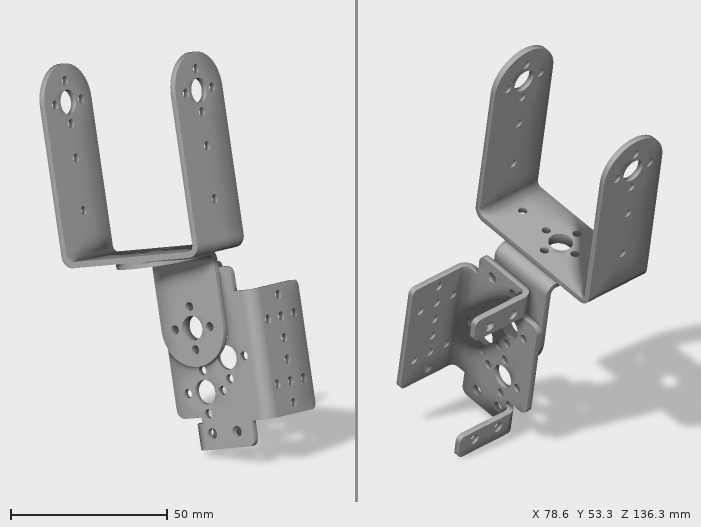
import cadquery as cq


ROLL_ABOUT_X = -4.1
PITCH_ABOUT_Y = -13.1

SHEET = 2.0
INNER_BEND = 2.0
OUTER_BEND = INNER_BEND + SHEET
STRAP_WIDTH = 25.0
TIP_RADIUS = STRAP_WIDTH / 2

HUB_HOLE = 8.0
SCREW_HOLE = 3.0
HUB_PITCH = 7.0
HUB_SCREWS = [(HUB_PITCH, 0), (-HUB_PITCH, 0), (0, HUB_PITCH), (0, -HUB_PITCH)]

U_WIDTH = 55.0
U_HEIGHT = 64.8
U_LEG_HUB_Z = U_HEIGHT - TIP_RADIUS
U_LEG_SCREWS_Z = [17.1, 34.2]
U_BASE_SCREW_X = 18.5

L_BACK_Y = TIP_RADIUS + OUTER_BEND
L_HUB_Z = -25.0

PLATE_FRONT_Y = L_BACK_Y
PLATE_BACK_Y = PLATE_FRONT_Y + SHEET
HUB_OFFSET = 1.5 * HUB_PITCH
PLATE_MID_Z = L_HUB_Z - HUB_OFFSET
PLATE_LEFT_X = -TIP_RADIUS
PLATE_RIGHT_X = 17.0
PLATE_HEIGHT = 58.3
PLATE_CORNER = 2.5
LEFT_PANEL_HEIGHT = 37.0
LEFT_PANEL_CORNER = 3.0
HUBS_FROM_MID = [(0, HUB_OFFSET), (0, -HUB_OFFSET), (HUB_OFFSET, 0)]

MOUNT_DEPTH = 24.9
MOUNT_END_Y = PLATE_FRONT_Y + MOUNT_DEPTH
TAB_CORNER = 2.0
EAR_OUTER_X = -6.95
EAR_HEIGHT = 8.6
FLANGE_OUTER_X = 24.35
FLANGE_HEIGHT = 42.0
FLANGE_COLUMN_DEPTH = 13.55
FLANGE_CENTRE_Y = PLATE_FRONT_Y + FLANGE_COLUMN_DEPTH

SERVO_HOLE = 3.7
SERVO_HOLE_FROM_MID = 24.05
SERVO_HOLE_PITCH = 10.0
PLATE_SERVO_HOLE_X = 0.4
PLATE_SERVO_HOLES_X = [PLATE_SERVO_HOLE_X, PLATE_SERVO_HOLE_X + SERVO_HOLE_PITCH]
EAR_SERVO_HOLE_Y = PLATE_FRONT_Y + 8.4
EAR_SERVO_HOLES_Y = [EAR_SERVO_HOLE_Y, EAR_SERVO_HOLE_Y + SERVO_HOLE_PITCH]

FLANGE_COLUMN = [(FLANGE_CENTRE_Y, L_HUB_Z - row * HUB_PITCH) for row in range(-1, 5)]
FLANGE_SIDES = [
    (FLANGE_CENTRE_Y + side * HUB_PITCH, L_HUB_Z - row * HUB_PITCH)
    for side in (-1, 1)
    for row in (0, 3)
]
FLANGE_SCREWS = FLANGE_COLUMN + FLANGE_SIDES

DRILL_REACH = 100.0


def span_box(x_limits, y_limits, z_limits):
    """Box between two limits along each axis."""
    limits = (x_limits, y_limits, z_limits)
    size = [high - low for low, high in limits]
    corner = tuple(low for low, high in limits)
    return cq.Workplane("XY").box(*size, centered=False).translate(corner)


def drills(plane, points, diameter):
    """Cutters square to a plane, reaching well past the bracket on both sides."""
    return cq.Workplane(plane).pushPoints(points).circle(diameter / 2).extrude(DRILL_REACH, both=True)


def cut_hub(body, plane, centre):
    """Cut a hub hole and the four screw holes around it."""
    screws = [(centre[0] + a, centre[1] + b) for a, b in HUB_SCREWS]
    return body.cut(drills(plane, [centre], HUB_HOLE)).cut(drills(plane, screws, SCREW_HOLE))


def tilt(body):
    """Turn a bracket from its square position to its place in the assembly."""
    rolled = body.rotate((0, 0, 0), (1, 0, 0), ROLL_ABOUT_X)
    return rolled.rotate((0, 0, 0), (0, 1, 0), PITCH_ABOUT_Y)


def make_u_bracket():
    """U channel with two round-tipped legs."""
    half = U_WIDTH / 2
    strap = (-TIP_RADIUS, TIP_RADIUS)
    outer = span_box((-half, half), strap, (0, U_HEIGHT)).edges("|Y and <Z").fillet(OUTER_BEND)
    inner = span_box((SHEET - half, half - SHEET), strap, (SHEET, U_HEIGHT))
    body = outer.cut(inner.edges("|Y and <Z").fillet(INNER_BEND))

    leg_outline = span_box((-half, half), strap, (0, U_LEG_HUB_Z))
    leg_outline = leg_outline.union(drills("YZ", [(0, U_LEG_HUB_Z)], 2 * TIP_RADIUS))
    body = body.intersect(leg_outline)

    body = cut_hub(body, "XY", (0, 0))
    body = body.cut(drills("XY", [(-U_BASE_SCREW_X, 0), (U_BASE_SCREW_X, 0)], SCREW_HOLE))
    body = cut_hub(body, "YZ", (0, U_LEG_HUB_Z))
    return body.cut(drills("YZ", [(0, z) for z in U_LEG_SCREWS_Z], SCREW_HOLE))


def make_l_bracket():
    """Two round-tipped legs at a right angle, one under the U base and one hanging down."""
    strap = (-TIP_RADIUS, TIP_RADIUS)
    y_limits = (-TIP_RADIUS, L_BACK_Y)
    z_limits = (L_HUB_Z - TIP_RADIUS, 0)
    outer = span_box(strap, y_limits, z_limits).edges("|X and >Y and >Z").fillet(OUTER_BEND)
    inner = span_box(strap, (y_limits[0], L_BACK_Y - SHEET), (z_limits[0], -SHEET))
    body = outer.cut(inner.edges("|X and >Y and >Z").fillet(INNER_BEND))

    flat_outline = span_box(strap, (0, L_BACK_Y), z_limits)
    flat_outline = flat_outline.union(drills("XY", [(0, 0)], 2 * TIP_RADIUS))
    upright_outline = span_box(strap, y_limits, (L_HUB_Z, 0))
    upright_outline = upright_outline.union(drills("XZ", [(0, L_HUB_Z)], 2 * TIP_RADIUS))
    body = body.intersect(flat_outline).intersect(upright_outline)

    body = cut_hub(body, "XY", (0, 0))
    return cut_hub(body, "XZ", (0, L_HUB_Z))


def bent_tab(outer_x, z_limits):
    """Tab bent back from the plate at its outer face, with its flat part reaching in to X = 0."""
    side = 1 if outer_x > 0 else -1
    bend_edge = "|Z and <Y and >X" if outer_x > 0 else "|Z and <Y and <X"
    inner_x = outer_x - side * SHEET
    outer = span_box(sorted((0, outer_x)), (PLATE_FRONT_Y, MOUNT_END_Y), z_limits)
    outer = outer.edges(bend_edge).fillet(OUTER_BEND)
    outer = outer.edges("|X and >Y").fillet(TAB_CORNER)
    inner = span_box(sorted((0, inner_x)), (PLATE_BACK_Y, MOUNT_END_Y), z_limits)
    return outer.cut(inner.edges(bend_edge).fillet(INNER_BEND))


def make_servo_mount():
    """Plate with two ears and a side flange bent back from it."""
    y_limits = (PLATE_FRONT_Y, PLATE_BACK_Y)
    ear_flat_x = EAR_OUTER_X + OUTER_BEND
    low_z = PLATE_MID_Z - PLATE_HEIGHT / 2
    high_z = PLATE_MID_Z + PLATE_HEIGHT / 2
    panel_z = (PLATE_MID_Z - LEFT_PANEL_HEIGHT / 2, PLATE_MID_Z + LEFT_PANEL_HEIGHT / 2)
    flange_z = (PLATE_MID_Z - FLANGE_HEIGHT / 2, PLATE_MID_Z + FLANGE_HEIGHT / 2)

    body = span_box((ear_flat_x, PLATE_RIGHT_X), y_limits, (low_z, high_z))
    body = body.edges("|Y and >X").fillet(PLATE_CORNER)
    left_panel = span_box((PLATE_LEFT_X, PLATE_RIGHT_X), y_limits, panel_z)
    body = body.union(left_panel.edges("|Y and <X").fillet(LEFT_PANEL_CORNER))

    body = body.union(bent_tab(FLANGE_OUTER_X, flange_z))
    for ear_z in ((low_z, low_z + EAR_HEIGHT), (high_z - EAR_HEIGHT, high_z)):
        body = body.union(bent_tab(EAR_OUTER_X, ear_z))

    for x, z in HUBS_FROM_MID:
        body = cut_hub(body, "XZ", (x, PLATE_MID_Z + z))
    body = body.cut(drills("YZ", FLANGE_SCREWS, SCREW_HOLE))

    servo_z = [PLATE_MID_Z - SERVO_HOLE_FROM_MID, PLATE_MID_Z + SERVO_HOLE_FROM_MID]
    plate_holes = [(x, z) for x in PLATE_SERVO_HOLES_X for z in servo_z]
    ear_holes = [(y, z) for y in EAR_SERVO_HOLES_Y for z in servo_z]
    return body.cut(drills("XZ", plate_holes, SERVO_HOLE)).cut(drills("YZ", ear_holes, SERVO_HOLE))


u_bracket = tilt(make_u_bracket())
l_bracket = tilt(make_l_bracket())
servo_mount = tilt(make_servo_mount())

result = cq.Compound.makeCompound([u_bracket.val(), l_bracket.val(), servo_mount.val()])